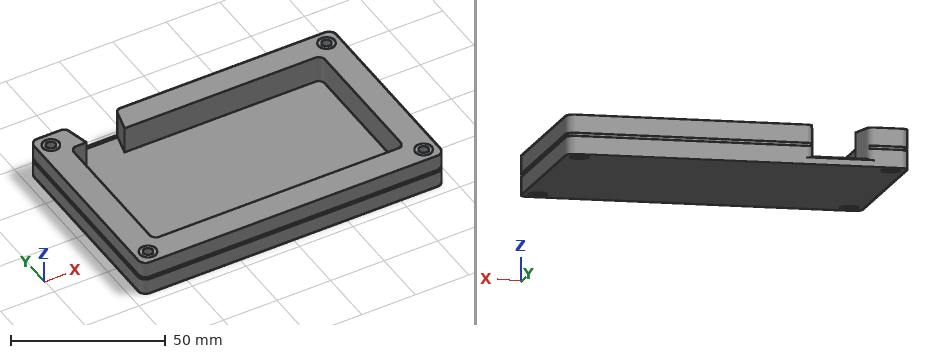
import cadquery as cq
import math

length = 112.9
width = 72.3
height = 13.0
corner_radius = 2.7

groove_width = 1.0
groove_depth = 0.5

rim = 9.6
floor_height = 2.9
pocket_radius = 2.3

opening_offset = 22.7
throat_width = 14.2
flare_angle = 14.0
mouth_radius = 2.0
ramp_run = 1.9
ramp_drop = 0.8

sleeve_outer = 6.0
sleeve_inner = 3.4
sleeve_inset = 5.0

sleeve_places = [
    (side_x * (length / 2 - sleeve_inset), side_y * (width / 2 - sleeve_inset))
    for side_x in (-1, 1)
    for side_y in (-1, 1)
]


def rounded_block(block_length, block_width, block_height, radius, base):
    """Block centred on the Z axis, with rounded upright edges, standing at height base."""
    block = cq.Workplane("XY").workplane(offset=base).rect(block_length, block_width)
    return block.extrude(block_height).edges("|Z").fillet(radius)


def make_groove():
    """Square-sided ring that lies in the outer walls at mid height."""
    base = (height - groove_width) / 2
    outside = cq.Workplane("XY").workplane(offset=base).rect(2 * length, 2 * width).extrude(groove_width)
    inside = rounded_block(
        length - 2 * groove_depth,
        width - 2 * groove_depth,
        groove_width,
        corner_radius,
        base,
    )
    return outside.cut(inside)


def make_opening():
    """Flared passage from the pocket to the rear side; its mouth corners are rounded off."""
    centre_x = opening_offset - length / 2
    rear_y = width / 2
    throat_y = rear_y - rim
    flare = math.radians(flare_angle)
    half_throat = throat_width / 2
    half_mouth = half_throat + rim * math.tan(flare)
    tangent = mouth_radius * math.tan((math.pi / 2 - flare) / 2)
    arc_start_x = half_mouth - tangent * math.sin(flare)
    arc_start_y = rear_y - tangent * math.cos(flare)
    arc_end_x = half_mouth + tangent
    arc_centre_y = rear_y - mouth_radius
    mid_angle = 3 * math.pi / 4 - flare / 2
    arc_mid_x = arc_end_x + mouth_radius * math.cos(mid_angle)
    arc_mid_y = arc_centre_y + mouth_radius * math.sin(mid_angle)
    inner_y = throat_y - pocket_radius
    return (
        cq.Workplane("XY")
        .workplane(offset=floor_height)
        .center(centre_x, 0)
        .moveTo(-half_throat, inner_y)
        .lineTo(-half_throat, throat_y)
        .lineTo(-arc_start_x, arc_start_y)
        .threePointArc((-arc_mid_x, arc_mid_y), (-arc_end_x, rear_y))
        .lineTo(arc_end_x, rear_y)
        .threePointArc((arc_mid_x, arc_mid_y), (arc_start_x, arc_start_y))
        .lineTo(half_throat, throat_y)
        .lineTo(half_throat, inner_y)
        .close()
        .extrude(height - floor_height)
    )


def make_ramp(opening):
    """Wedge that slopes the opening's floor down to the rear side."""
    rear_y = width / 2
    wedge = (
        cq.Workplane("YZ")
        .polyline([
            (rear_y - ramp_run, floor_height),
            (rear_y, floor_height),
            (rear_y, floor_height - ramp_drop),
        ])
        .close()
        .extrude(length / 2, both=True)
    )
    return wedge.intersect(opening.translate((0, 0, -ramp_drop)))


def make_case():
    case = rounded_block(length, width, height, corner_radius, 0)
    case = case.cut(make_groove())
    pocket = rounded_block(
        length - 2 * rim, width - 2 * rim, height - floor_height, pocket_radius, floor_height
    )
    opening = make_opening()
    case = case.cut(pocket).cut(opening).cut(make_ramp(opening))
    seats = cq.Workplane("XY").pushPoints(sleeve_places).circle(sleeve_outer / 2).extrude(height)
    return case.cut(seats)


def make_sleeve(place):
    """Plain tube through the full height of the case."""
    sleeve = cq.Workplane("XY").center(*place).circle(sleeve_outer / 2).circle(sleeve_inner / 2)
    return sleeve.extrude(height)


case = make_case()
sleeves = [make_sleeve(place) for place in sleeve_places]

result = cq.Compound.makeCompound([case.val(), *[sleeve.val() for sleeve in sleeves]])